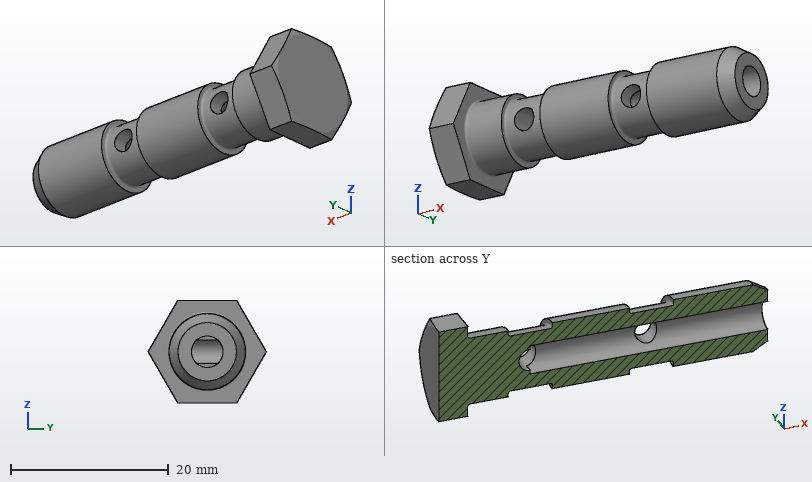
import cadquery as cq
import math

total_length = 44.8
head_height = 4.0
across_flats = 13.0
across_corners = across_flats / math.cos(math.pi / 6)
head_chamfer_angle = 15.0

shank_diameter = 9.6
end_diameter = 9.7
groove_diameter = 8.0
groove_length = 5.95
groove_starts = (9.5, 26.0)
fillet_radius = 0.25
tip_length = 2.0
tip_diameter = 7.4

cross_hole_diameter = 3.0
bore_diameter = 4.0


def cylinder(start, end, diameter):
    """Solid cylinder on the X axis between two stations."""
    return cq.Workplane("YZ", origin=(start, 0, 0)).circle(diameter / 2).extrude(end - start)


def corner_fillet(station, direction, root_radius):
    """Concave fillet ring between a cylinder and a shoulder it leaves along direction."""
    diagonal = fillet_radius * (1 - math.sqrt(0.5))
    return (
        cq.Workplane("XY")
        .moveTo(station, root_radius - fillet_radius)
        .lineTo(station, root_radius + fillet_radius)
        .threePointArc(
            (station + direction * diagonal, root_radius + diagonal),
            (station + direction * fillet_radius, root_radius),
        )
        .lineTo(station + direction * fillet_radius, root_radius - fillet_radius)
        .close()
        .revolve(360, (0, 0, 0), (1, 0, 0))
    )


def hex_head():
    """Hexagon with corners on Y, its outer corners cut back by a shallow cone."""
    hexagon = cq.Workplane("YZ").polygon(6, across_corners).extrude(head_height)
    cone_growth = head_height / math.tan(math.radians(head_chamfer_angle))
    face_radius = across_flats / 2
    cone = (
        cq.Workplane("XY")
        .polyline([(0, 0), (0, face_radius), (head_height, face_radius + cone_growth), (head_height, 0)])
        .close()
        .revolve(360, (0, 0, 0), (1, 0, 0))
    )
    return hexagon.intersect(cone)


def shank():
    """Stepped shank with two grooves, root fillets and a tapered tip."""
    end_start = groove_starts[-1] + groove_length
    tip_chamfer = (end_diameter - tip_diameter) / 2
    body = cylinder(head_height, end_start, shank_diameter)
    end = cylinder(end_start, total_length, end_diameter)
    body = body.union(end.faces(">X").chamfer(tip_length, tip_chamfer))
    body = body.union(corner_fillet(head_height, 1, shank_diameter / 2))
    for start in groove_starts:
        stop = start + groove_length
        ring = cylinder(start, stop, end_diameter).cut(cylinder(start, stop, groove_diameter))
        body = body.cut(ring)
        body = body.union(corner_fillet(start, 1, groove_diameter / 2))
        body = body.union(corner_fillet(stop, -1, groove_diameter / 2))
    return body


result = hex_head().union(shank())

hole_centres = [start + groove_length / 2 for start in groove_starts]
for centre in hole_centres:
    cross_hole = (
        cq.Workplane("XZ", origin=(centre, 0, 0))
        .circle(cross_hole_diameter / 2)
        .extrude(end_diameter / 2, both=True)
    )
    result = result.cut(cross_hole)

result = result.cut(cylinder(hole_centres[0], total_length, bore_diameter))